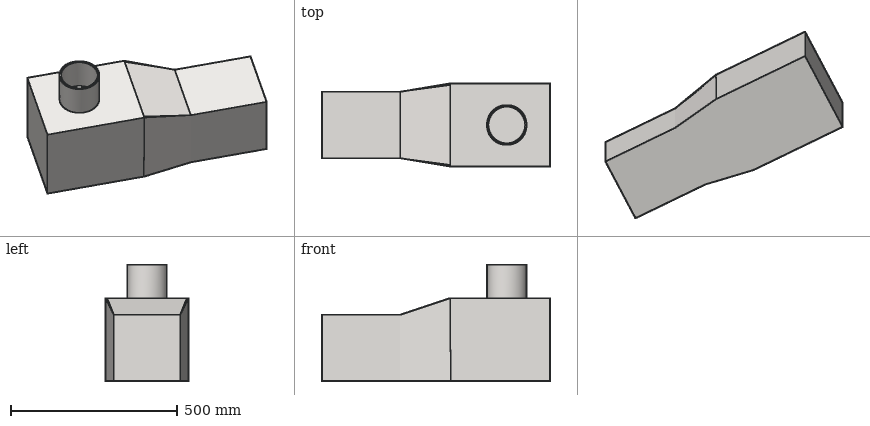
import cadquery as cq
import math

narrow_length = 235.0
narrow_size = 200.0

taper_length = 150.0

wide_length = 300.0
wide_size = 250.0

cheek_thickness = 10.0
roof_inset = 5.0

spigot_outer_diameter = 120.0
spigot_inner_diameter = 110.0
spigot_height = 100.0
spigot_from_end = 130.0

wide_start = narrow_length + taper_length
total_length = wide_start + wide_length
flare = (wide_size - narrow_size) / 2
flare_angle = math.atan2(flare, taper_length)


def duct(start, length, size):
    """Square duct along X, standing on Z = 0 and centred on Y = 0."""
    return (
        cq.Workplane("XY", origin=(start, 0, 0))
        .box(length, size, size, centered=(False, True, False))
    )


def transition_core():
    """Loft from the narrow duct to the wide one, with the wide end inset on both sides."""
    wide_width = wide_size - 2 * roof_inset
    return (
        cq.Workplane("YZ", origin=(narrow_length, 0, 0))
        .center(0, narrow_size / 2)
        .rect(narrow_size, narrow_size)
        .workplane(offset=taper_length)
        .center(0, flare)
        .rect(wide_width, wide_size)
        .loft(ruled=True)
    )


def front_cheek():
    """Flat plate along the flared -Y side; its lower end runs on past the wide duct's end face."""
    slope_length = math.hypot(taper_length, flare)
    lap = cheek_thickness * math.tan(flare_angle)
    face = cq.Plane(
        origin=(narrow_length, -narrow_size / 2, 0),
        xDir=(taper_length, -flare, 0),
        normal=(-flare, -taper_length, 0),
    )
    outline = [
        (0, 0),
        (slope_length + lap, 0),
        (slope_length, wide_size),
        (0, narrow_size),
    ]
    return cq.Workplane(face).polyline(outline).close().extrude(-cheek_thickness)


def spigot():
    """Open tube standing on the roof of the wide duct."""
    return (
        cq.Workplane("XY", origin=(total_length - spigot_from_end, 0, wide_size))
        .circle(spigot_outer_diameter / 2)
        .circle(spigot_inner_diameter / 2)
        .extrude(spigot_height)
    )


cheek = front_cheek()
result = (
    duct(0, narrow_length, narrow_size)
    .union(transition_core())
    .union(cheek)
    .union(cheek.mirror("XZ"))
    .union(duct(wide_start, wide_length, wide_size))
    .union(spigot())
)